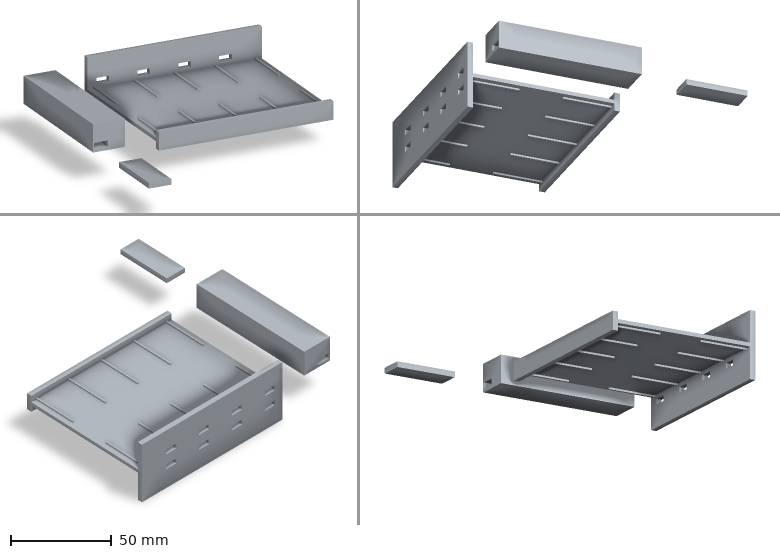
import cadquery as cq


overall_width = 132.0

panel_thickness = 3.0
tray_width = 97.0
tray_length = 82.0
front_panel_height = 36.0
rear_wall_height = 10.0
floor_thickness = 2.0
floor_mid_z = floor_thickness / 2

rib_rows = 5
rib_pitch = 22.5
rib_length = 26.3
rib_width = 1.0
rib_height = 1.0

window_columns = 4
window_width = 7.0
window_height = 3.0
window_pitch = 22.7
first_window_y = 5.1
window_offset_z = 4.7

block_length = 76.9
block_width = 17.7
block_height = 15.0
block_start_x = 2.3
block_front_y = tray_width - overall_width
slot_width = 7.7
slot_height = 3.4
slot_side_wall = 0.5
slot_floor_z = 1.6

plate_length = 33.0
plate_width = 12.5
plate_thickness = 3.0
plate_end_x = 137
plate_inset_y = 1.9


def box_at(x, y, z, length, width, height):
    """Box whose lowest corner is at (x, y, z)."""
    return cq.Workplane("XY").box(length, width, height, centered=False).translate((x, y, z))


def make_tray_panels():
    """Front panel, rear wall and floor, all sharing one middle height."""
    inner_length = tray_length - 2 * panel_thickness
    front_panel = box_at(
        0, 0, floor_mid_z - front_panel_height / 2, panel_thickness, tray_width, front_panel_height
    )
    rear_wall = box_at(
        tray_length - panel_thickness, 0, floor_mid_z - rear_wall_height / 2,
        panel_thickness, tray_width, rear_wall_height,
    )
    floor = box_at(panel_thickness, 0, 0, inner_length, tray_width, floor_thickness)
    return front_panel.union(floor).union(rear_wall)


def add_ribs(tray):
    """Rows of short ribs running in from both end walls, above and below the floor."""
    rib_starts_x = (panel_thickness, tray_length - panel_thickness - rib_length)
    rib_starts_z = (-rib_height, floor_thickness)
    for row in range(rib_rows):
        rib_centre_y = tray_width / 2 + (row - (rib_rows - 1) / 2) * rib_pitch
        for rib_x in rib_starts_x:
            for rib_z in rib_starts_z:
                rib = box_at(rib_x, rib_centre_y - rib_width / 2, rib_z, rib_length, rib_width, rib_height)
                tray = tray.union(rib)
    return tray


def cut_windows(tray):
    """Two rows of windows through the front panel, above and below the floor."""
    for column in range(window_columns):
        window_y = first_window_y + column * window_pitch
        for side in (-1, 1):
            window_z = floor_mid_z + side * window_offset_z - window_height / 2
            window = box_at(0, window_y, window_z, panel_thickness, window_width, window_height)
            tray = tray.cut(window)
    return tray


def make_tray():
    return cut_windows(add_ribs(make_tray_panels()))


def make_block():
    """Long block with a rectangular slot running through its whole length."""
    block = box_at(block_start_x, block_front_y, 0, block_length, block_width, block_height)
    slot = box_at(
        block_start_x, block_front_y + slot_side_wall, slot_floor_z, block_length, slot_width, slot_height
    )
    return block.cut(slot)


def make_plate():
    return box_at(
        plate_end_x - plate_length, block_front_y + plate_inset_y, 0,
        plate_length, plate_width, plate_thickness,
    )


tray = make_tray()
block = make_block()
plate = make_plate()

result = cq.Compound.makeCompound([tray.val(), block.val(), plate.val()])